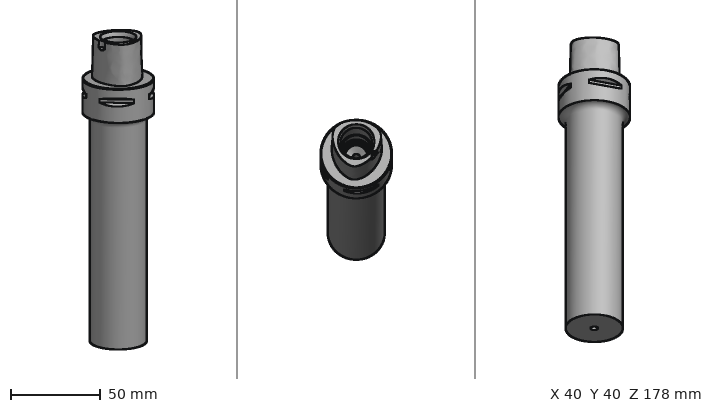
import cadquery as cq
import math

total_length = 178.0
shank_diameter = 32.0
flange_diameter = 40.0
flange_length = 20.0
flange_chamfer = 0.5
taper_length = 24.0

face_z = total_length - taper_length
flange_bottom_z = face_z - flange_length
shank_radius = shank_diameter / 2
flange_radius = flange_diameter / 2
neck_fillet = flange_radius - shank_radius

taper_mean_diameter = 28.1
lobe_eccentricity = 1.0
taper_ratio = 1 / 20
profile_point_count = 36

mouth_diameter = 20.2
mouth_chamfer_depth = 1.2
lead_in_diameter = 19.0
lead_in_depth = 2.9
bore_diameter = 17.7
bore_depth = 16.0
inner_bore_diameter = 16.7
inner_bore_depth = 24.0
pilot_rim_diameter = 14.2
pilot_diameter = 12.5
pilot_length = 4.0
drill_point_angle = 118.0
coolant_hole_diameter = 4.0

groove_count = 4
groove_start_angle = 45.0
groove_floor_distance = 17.5
groove_floor_height = 2.0
groove_flank_angle = 30.0
groove_below_face = 7.9

notch_radius = 3.5
notch_wall_height = 3.7
notch_inner_y = -11.2


def lobed_profile(mean_diameter, z):
    """Closed three-lobed curve with one lobe pointing along +Y."""
    points = []
    for i in range(profile_point_count):
        angle = 2 * math.pi * i / profile_point_count
        along = (
            mean_diameter / 2 * math.cos(angle)
            - 2 * lobe_eccentricity * math.cos(2 * angle)
            + lobe_eccentricity * math.cos(4 * angle)
        )
        across = (
            mean_diameter / 2 * math.sin(angle)
            + 2 * lobe_eccentricity * math.sin(2 * angle)
            + lobe_eccentricity * math.sin(4 * angle)
        )
        points.append(cq.Vector(across, -along, z))
    return cq.Wire.assembleEdges([cq.Edge.makeSpline(points, periodic=True)])


def make_taper():
    end_mean_diameter = taper_mean_diameter - taper_ratio * taper_length
    base = lobed_profile(taper_mean_diameter, face_z)
    end = lobed_profile(end_mean_diameter, total_length)
    return cq.Workplane(cq.Solid.makeLoft([base, end], True))


def make_body():
    fillet_middle = neck_fillet * (1 - math.sqrt(0.5))
    return (
        cq.Workplane("XZ")
        .moveTo(0, 0)
        .lineTo(shank_radius, 0)
        .lineTo(shank_radius, flange_bottom_z - neck_fillet)
        .threePointArc(
            (shank_radius + fillet_middle, flange_bottom_z - fillet_middle),
            (flange_radius, flange_bottom_z),
        )
        .lineTo(flange_radius, face_z - flange_chamfer)
        .lineTo(flange_radius - flange_chamfer, face_z)
        .lineTo(0, face_z)
        .close()
        .revolve(360, (0, 0, 0), (0, 1, 0))
    )


def make_bore():
    mouth_radius = mouth_diameter / 2
    lead_in_radius = lead_in_diameter / 2
    bore_radius = bore_diameter / 2
    inner_radius = inner_bore_diameter / 2
    pilot_rim_radius = pilot_rim_diameter / 2
    pilot_radius = pilot_diameter / 2
    hole_radius = coolant_hole_diameter / 2

    drill_slope = 1 / math.tan(math.radians(drill_point_angle / 2))
    inner_floor_z = total_length - inner_bore_depth
    pilot_top_z = inner_floor_z - (pilot_rim_radius - pilot_radius) * drill_slope
    pilot_bottom_z = pilot_top_z - pilot_length
    hole_top_z = pilot_bottom_z - (pilot_radius - hole_radius) * drill_slope
    return (
        cq.Workplane("XZ")
        .moveTo(0, 0)
        .lineTo(hole_radius, 0)
        .lineTo(hole_radius, hole_top_z)
        .lineTo(pilot_radius, pilot_bottom_z)
        .lineTo(pilot_radius, pilot_top_z)
        .lineTo(pilot_rim_radius, inner_floor_z)
        .lineTo(inner_radius, inner_floor_z)
        .lineTo(inner_radius, total_length - bore_depth)
        .lineTo(bore_radius, total_length - bore_depth)
        .lineTo(bore_radius, total_length - lead_in_depth)
        .lineTo(lead_in_radius, total_length - mouth_chamfer_depth)
        .lineTo(mouth_radius, total_length)
        .lineTo(0, total_length)
        .close()
        .revolve(360, (0, 0, 0), (0, 1, 0))
    )


def make_groove(angle):
    groove_z = face_z - groove_below_face
    floor_half = groove_floor_height / 2
    flank_rise = (flange_radius - groove_floor_distance) * math.tan(math.radians(groove_flank_angle))
    rim_half = floor_half + flank_rise
    return (
        cq.Workplane("XZ")
        .moveTo(groove_floor_distance, groove_z - floor_half)
        .lineTo(flange_radius, groove_z - rim_half)
        .lineTo(flange_radius, groove_z + rim_half)
        .lineTo(groove_floor_distance, groove_z + floor_half)
        .close()
        .extrude(flange_radius, both=True)
        .rotate((0, 0, 0), (0, 0, 1), angle)
    )


def make_notch():
    """Vertical round cutter with a 45 degree conical tip."""
    wall_z = total_length - notch_wall_height
    axis_y = notch_inner_y - notch_radius
    return (
        cq.Workplane("XZ")
        .moveTo(0, wall_z - notch_radius)
        .lineTo(notch_radius, wall_z)
        .lineTo(notch_radius, total_length)
        .lineTo(0, total_length)
        .close()
        .revolve(360, (0, 0, 0), (0, 1, 0))
        .translate((0, axis_y, 0))
    )


result = make_body().union(make_taper()).cut(make_bore()).cut(make_notch())
for index in range(groove_count):
    result = result.cut(make_groove(groove_start_angle + index * 360 / groove_count))